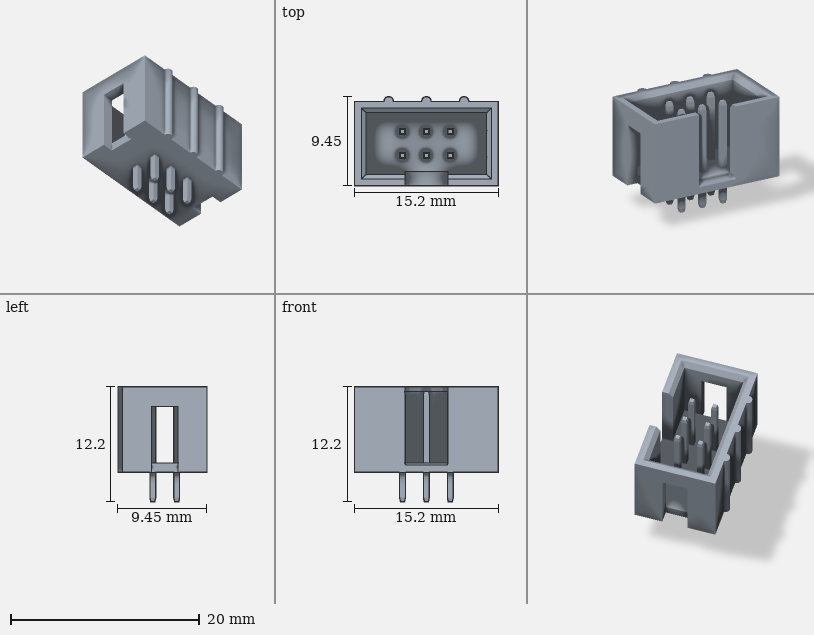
import cadquery as cq

housing_length = 15.24
housing_depth = 8.95
housing_height = 9.08
end_wall = 1.25
long_wall = 1.2
floor_thickness = 0.99

rim_width = 0.73
flare_height = 0.52

notch_width = 4.54
notch_depth = 1.51
notch_bottom = 0.76
notch_corner_radius = 0.21

slot_width = 2.8
slot_height = 6.95

rib_radius = 0.5
rib_pitch = 4.0
rib_count = 3

pin_pitch = 2.53
pin_columns = 3
pin_rows = 2
pin_size = 0.64
pin_tip_size = 0.44
pin_tip_length = 0.43
pin_tail = 3.12
pin_top = 8.56

cavity_length = housing_length - 2 * end_wall
cavity_depth = housing_depth - 2 * long_wall
back_face = housing_depth / 2
front_face = -housing_depth / 2


def box_above(length, depth, height, bottom):
    """Box centred on the Z axis that stands on the given level."""
    return (
        cq.Workplane("XY")
        .workplane(offset=bottom)
        .box(length, depth, height, centered=(True, True, False))
    )


def make_cavity():
    """Space inside the walls, flared towards the rim."""
    room = box_above(cavity_length, cavity_depth, housing_height - floor_thickness, floor_thickness)
    flare = (
        cq.Workplane("XY")
        .workplane(offset=housing_height - flare_height)
        .rect(cavity_length, cavity_depth)
        .workplane(offset=flare_height)
        .rect(housing_length - 2 * rim_width, housing_depth - 2 * rim_width)
        .loft(ruled=True)
    )
    return room.union(flare)


def make_notch():
    """Front wall opening with rounded lower corners."""
    block = box_above(notch_width, notch_depth, housing_height - notch_bottom, notch_bottom)
    rounded = block.edges("|Y and <Z").fillet(notch_corner_radius)
    return rounded.translate((0, front_face + notch_depth / 2, 0))


def make_end_slots():
    """One wall-deep slot in each end of the housing."""
    slot_centre = (housing_length - end_wall) / 2
    slot = box_above(end_wall, slot_width, slot_height, 0)
    return slot.translate((slot_centre, 0, 0)).union(slot.translate((-slot_centre, 0, 0)))


def make_ribs():
    """Full-height round ribs, half sunk in the back wall."""
    return (
        cq.Workplane("XY")
        .center(0, back_face)
        .rarray(rib_pitch, 0.15, rib_count, 1)
        .circle(rib_radius)
        .extrude(housing_height)
    )


def make_tip(base, direction):
    """Tapered pin end, growing up (1) or down (-1) from its base level."""
    return (
        cq.Workplane("XY")
        .workplane(offset=base)
        .rect(pin_size, pin_size)
        .workplane(offset=direction * pin_tip_length)
        .rect(pin_tip_size, pin_tip_size)
        .loft(ruled=True)
    )


def make_pin():
    """One straight pin on the Z axis with a tip at both ends."""
    shank_bottom = pin_tip_length - pin_tail
    shank_top = pin_top - pin_tip_length
    shank = box_above(pin_size, pin_size, shank_top - shank_bottom, shank_bottom)
    return shank.union(make_tip(shank_top, 1)).union(make_tip(shank_bottom, -1))


housing = box_above(housing_length, housing_depth, housing_height, 0)
housing = housing.union(make_ribs()).cut(make_cavity()).cut(make_notch()).cut(make_end_slots())

result = housing
pin = make_pin()
for column in range(pin_columns):
    for row in range(pin_rows):
        pin_x = (column - (pin_columns - 1) / 2) * pin_pitch
        pin_y = (row - (pin_rows - 1) / 2) * pin_pitch
        result = result.union(pin.translate((pin_x, pin_y, 0)))